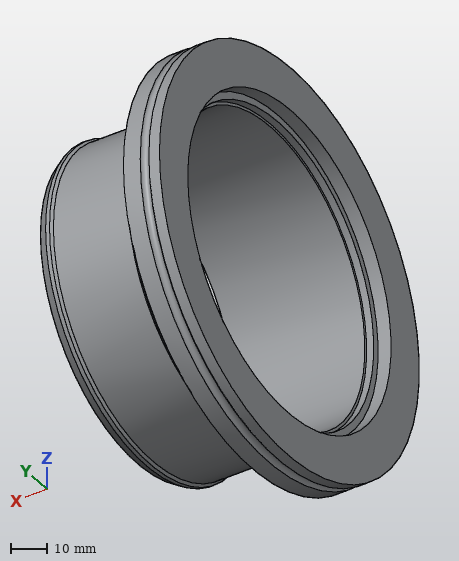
import cadquery as cq

total_length = 50.0
flange_radius = 65.0
flange_width = 12.0

groove_center_x = 5.0
groove_radius = 1.4

sleeve_setback = 4.3
collar_radius = 50.8
collar_end_x = 19.5
collar_chamfer = 0.8
barrel_radius = collar_radius - collar_chamfer

bead_start_x = 45.1
bead_rise = collar_radius - barrel_radius
bead_crest_start_x = bead_start_x + bead_rise
bead_crest_end_x = 47.2
end_radius = 49.1

bore_radius = 47.7
counterbore_radius = 48.6
counterbore_depth = 2.3


def revolve_about_x(profile):
    """Turn a closed half-section, drawn as (x, radius), about the X axis."""
    return profile.close().revolve(360, (0, 0, 0), (1, 0, 0))


def make_flange():
    """Plain ring with a semicircular groove around its rim."""
    return revolve_about_x(
        cq.Workplane("XY")
        .moveTo(0, collar_radius)
        .lineTo(0, flange_radius)
        .lineTo(groove_center_x - groove_radius, flange_radius)
        .threePointArc(
            (groove_center_x, flange_radius - groove_radius),
            (groove_center_x + groove_radius, flange_radius),
        )
        .lineTo(flange_width, flange_radius)
        .lineTo(flange_width, collar_radius)
    )


def make_sleeve():
    """Tube with a collar inside the flange and a chamfered bead at its end."""
    counterbore_end_x = sleeve_setback + counterbore_depth
    return revolve_about_x(
        cq.Workplane("XY")
        .moveTo(sleeve_setback, counterbore_radius)
        .lineTo(sleeve_setback, collar_radius)
        .lineTo(collar_end_x, collar_radius)
        .lineTo(collar_end_x + collar_chamfer, barrel_radius)
        .lineTo(bead_start_x, barrel_radius)
        .lineTo(bead_crest_start_x, collar_radius)
        .lineTo(bead_crest_end_x, collar_radius)
        .lineTo(total_length, end_radius)
        .lineTo(total_length, bore_radius)
        .lineTo(counterbore_end_x, bore_radius)
        .lineTo(counterbore_end_x, counterbore_radius)
    )


flange = make_flange()
sleeve = make_sleeve()

result = cq.Compound.makeCompound([flange.val(), sleeve.val()])